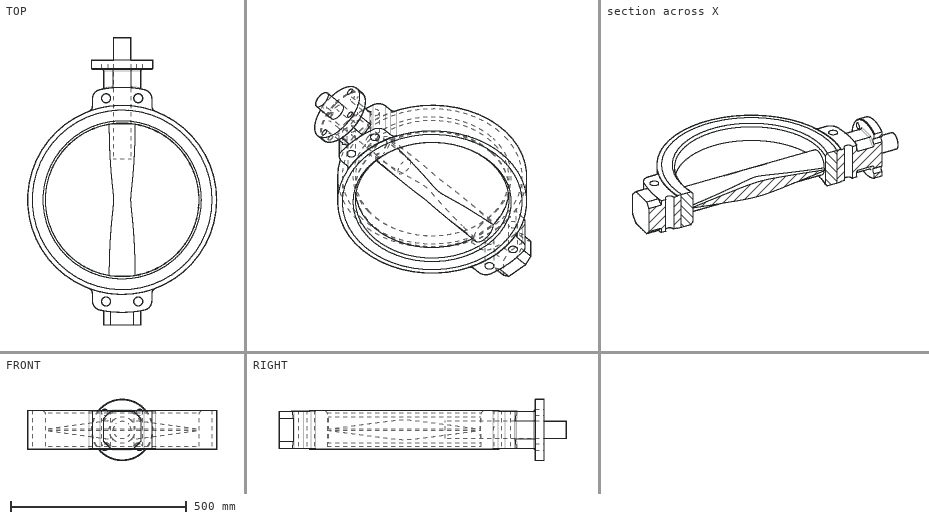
import cadquery as cq
import math

RING_RADIUS = 269.0
RING_WIDTH = 111.0

LINER_OUTER_RADIUS = 255.5
LINER_BORE_RADIUS = 218.5
LINER_MOUTH_RADIUS = 225.0
LINER_MOUTH_DEPTH = 8.0

LUG_WIDTH = 107.0
LUG_HALF_LENGTH = 85.0
LUG_TIP_RADIUS = 320.0
LUG_CORNER_RADIUS = 28.0
LUG_ROOT_RADIUS = 15.0
BOLT_CIRCLE_RADIUS = 292.5
BOLT_ANGLE = 9.0
BOLT_HOLE_DIAMETER = 25.0

NECK_WIDTH = 106.0
NECK_CHAMFER = 27.5
END_BLOCK_CHAMFER = 20.5
END_BLOCK_TIP = 356.0
NECK_TOP_FILLET = 4.0
NECK_BASE_FILLET = 3.5

FLANGE_RADIUS = 87.5
FLANGE_BASE = 371.0
FLANGE_THICKNESS = 26.5
FLANGE_EDGE_CHAMFER = 2.0
FLANGE_HOLE_CIRCLE_RADIUS = 70.0
FLANGE_HOLE_DIAMETER = 18.0
FLANGE_HOLE_COUNT = 4
FLANGE_TIP = FLANGE_BASE + FLANGE_THICKNESS

SELECT_MARGIN = 0.5

STEM_RADIUS = 24.75
STEM_TIP = 461.0

DISC_RADIUS = LINER_BORE_RADIUS
DISC_CENTRE_HALF_THICKNESS = 31.5
DISC_RIM_HALF_THICKNESS = 2.0
HUB_RADIUS = 37.25
HUB_HALF_LENGTH = 216.0
STEM_SOCKET_DEPTH = 100.0
STEM_INNER_END = HUB_HALF_LENGTH - STEM_SOCKET_DEPTH


def cylinder_along_y(radius, start, end):
    """Solid cylinder on the Y axis between two Y positions."""
    circle = cq.Workplane("XZ", origin=(0, start, 0)).circle(radius)
    return circle.extrude(start - end)


def octagon_along_y(width, corner, start, end):
    """Square bar on the Y axis with its four long edges chamfered."""
    square = cq.Workplane("XZ", origin=(0, start, 0)).rect(width, width)
    return square.extrude(start - end).edges("|Y").chamfer(corner)


def centred_on_z(height):
    """Workplane facing +Z from which a body of this height ends up centred on Z = 0."""
    return cq.Workplane("XY", origin=(0, 0, -height / 2))


def make_lug(width):
    """Lug at the +Y end: straight sides, arc tip and rounded corners."""
    corner_y = math.sqrt(LUG_TIP_RADIUS**2 - LUG_HALF_LENGTH**2)
    lug = (
        centred_on_z(width)
        .moveTo(-LUG_HALF_LENGTH, 0)
        .lineTo(-LUG_HALF_LENGTH, corner_y)
        .threePointArc((0, LUG_TIP_RADIUS), (LUG_HALF_LENGTH, corner_y))
        .lineTo(LUG_HALF_LENGTH, 0)
        .close()
        .extrude(width)
    )
    return lug.edges("|Z").edges(">Y").fillet(LUG_CORNER_RADIUS)


def make_lug_root_fillets():
    """Concave wedges blending both sides of the +Y lug into the ring."""
    centre_x = LUG_HALF_LENGTH + LUG_ROOT_RADIUS
    centre_distance = RING_RADIUS + LUG_ROOT_RADIUS
    centre_y = math.sqrt(centre_distance**2 - centre_x**2)
    touch_x = centre_x * RING_RADIUS / centre_distance
    touch_y = centre_y * RING_RADIUS / centre_distance
    inner_y = touch_y - LUG_ROOT_RADIUS
    wedge = (
        centred_on_z(LUG_WIDTH)
        .moveTo(LUG_HALF_LENGTH, inner_y)
        .lineTo(touch_x, inner_y)
        .lineTo(touch_x, touch_y)
        .lineTo(centre_x, centre_y)
        .lineTo(LUG_HALF_LENGTH, centre_y)
        .close()
        .extrude(LUG_WIDTH)
    )
    round_cut = centred_on_z(LUG_WIDTH).center(centre_x, centre_y).circle(LUG_ROOT_RADIUS)
    wedge = wedge.cut(round_cut.extrude(LUG_WIDTH))
    return wedge.union(wedge.mirror("YZ"))


def make_flange():
    """Round actuator flange with a ring of through holes."""
    flange = cylinder_along_y(FLANGE_RADIUS, FLANGE_BASE, FLANGE_TIP)
    flange = flange.faces("<Y").edges().chamfer(FLANGE_EDGE_CHAMFER)
    holes = (
        cq.Workplane("XZ", origin=(0, FLANGE_BASE, 0))
        .polarArray(FLANGE_HOLE_CIRCLE_RADIUS, 180 / FLANGE_HOLE_COUNT, 360, FLANGE_HOLE_COUNT)
        .circle(FLANGE_HOLE_DIAMETER / 2)
        .extrude(-FLANGE_THICKNESS)
    )
    return flange.cut(holes)


def make_neck():
    """Octagonal neck between the +Y lug and the actuator flange, filleted at both ends."""
    neck = octagon_along_y(NECK_WIDTH, NECK_CHAMFER, RING_RADIUS, FLANGE_BASE).union(make_flange())
    top_corner = cq.selectors.BoxSelector(
        (-NECK_WIDTH, FLANGE_BASE - SELECT_MARGIN, -NECK_WIDTH),
        (NECK_WIDTH, FLANGE_BASE + SELECT_MARGIN, NECK_WIDTH),
    )
    neck = neck.edges(top_corner).edges("%LINE").fillet(NECK_TOP_FILLET)
    neck = neck.union(make_lug(NECK_WIDTH))
    base_reach = NECK_WIDTH / 2 + SELECT_MARGIN
    base_corner = cq.selectors.BoxSelector(
        (-base_reach, LUG_TIP_RADIUS - NECK_CHAMFER, SELECT_MARGIN - NECK_WIDTH / 2),
        (base_reach, LUG_TIP_RADIUS + SELECT_MARGIN, NECK_WIDTH / 2 - SELECT_MARGIN),
    )
    return neck.edges(base_corner).fillet(NECK_BASE_FILLET)


def make_housing():
    """Ring with lugs, end block, neck and actuator flange, bored for the liner and the stem."""
    lug = make_lug(LUG_WIDTH).union(make_lug_root_fillets())
    housing = make_neck().union(lug).union(lug.mirror("XZ"))
    housing = housing.union(octagon_along_y(NECK_WIDTH, END_BLOCK_CHAMFER, -END_BLOCK_TIP, -RING_RADIUS))
    housing = housing.union(centred_on_z(RING_WIDTH).circle(RING_RADIUS).extrude(RING_WIDTH))
    bore = centred_on_z(RING_WIDTH).circle(LINER_OUTER_RADIUS).extrude(RING_WIDTH)
    bolt_x = BOLT_CIRCLE_RADIUS * math.sin(math.radians(BOLT_ANGLE))
    bolt_y = BOLT_CIRCLE_RADIUS * math.cos(math.radians(BOLT_ANGLE))
    bolt_holes = (
        centred_on_z(LUG_WIDTH)
        .rect(2 * bolt_x, 2 * bolt_y, forConstruction=True)
        .vertices()
        .circle(BOLT_HOLE_DIAMETER / 2)
        .extrude(LUG_WIDTH)
    )
    stem_hole = cylinder_along_y(STEM_RADIUS, 0, FLANGE_TIP)
    return housing.cut(bore).cut(bolt_holes).cut(stem_hole)


def make_liner():
    """Liner sleeve with a flared mouth at each end and a hole for the stem."""
    half = RING_WIDTH / 2
    throat = half - LINER_MOUTH_DEPTH
    profile = [
        (LINER_OUTER_RADIUS, -half),
        (LINER_OUTER_RADIUS, half),
        (LINER_MOUTH_RADIUS, half),
        (LINER_BORE_RADIUS, throat),
        (LINER_BORE_RADIUS, -throat),
        (LINER_MOUTH_RADIUS, -half),
    ]
    liner = cq.Workplane("XZ").polyline(profile).close().revolve(360, (0, 0, 0), (0, 1, 0))
    return liner.cut(cylinder_along_y(STEM_RADIUS, 0, FLANGE_TIP))


def make_disc():
    """Double-cone disc with a cylindrical hub, trimmed to the liner bore, and a socket for the stem."""
    profile = [
        (0, -DISC_CENTRE_HALF_THICKNESS),
        (DISC_RADIUS, -DISC_RIM_HALF_THICKNESS),
        (DISC_RADIUS, DISC_RIM_HALF_THICKNESS),
        (0, DISC_CENTRE_HALF_THICKNESS),
    ]
    disc = cq.Workplane("XZ").polyline(profile).close().revolve(360, (0, 0, 0), (0, 1, 0))
    hub = cylinder_along_y(HUB_RADIUS, -HUB_HALF_LENGTH, HUB_HALF_LENGTH)
    swept_bore = centred_on_z(2 * HUB_RADIUS).circle(DISC_RADIUS).extrude(2 * HUB_RADIUS)
    disc = disc.union(hub.intersect(swept_bore))
    return disc.cut(cylinder_along_y(STEM_RADIUS, STEM_INNER_END, FLANGE_TIP))


def make_stem():
    """Round drive stem from the disc out through the flange."""
    return cylinder_along_y(STEM_RADIUS, STEM_INNER_END, STEM_TIP)


housing = make_housing().solids()
liner = make_liner().solids()
disc = make_disc().solids()
stem = make_stem().solids()

result = cq.Compound.makeCompound([housing.val(), liner.val(), disc.val(), stem.val()])